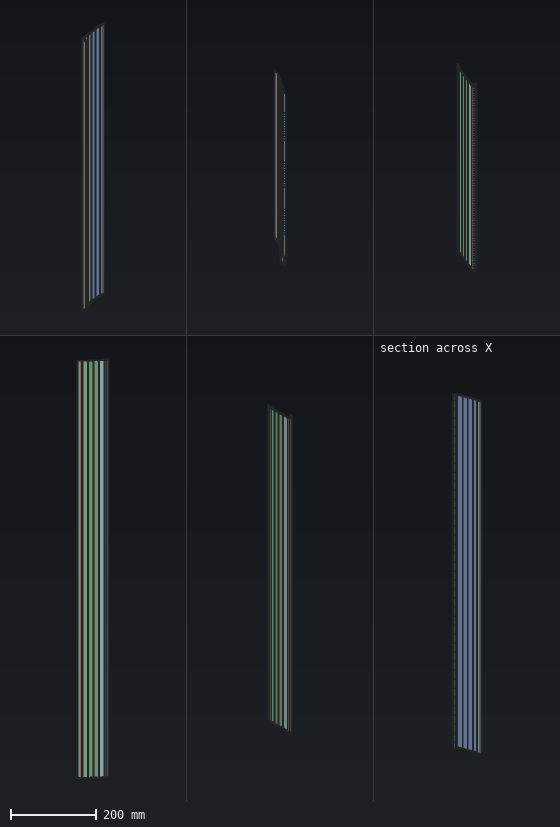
import cadquery as cq

length = 1000.0
width = 74.0
depth = 12.0
wall = 2.0

edge_setback = 4.0
edge_thickness = 1.0
tongue_setback = 2.0
tongue_length = 6.0
upper_bend = 9.0
lower_bend = 9.0

pad_reach = 12.0
pad_depth = 4.0

hook_start = 5.0
hook_thickness = 3.0
hook_lip = 3.0
lip_thickness = 2.0
foot_depth = 4.0

groove_pitch = 13.0
groove_width = 1.0
groove_depth = 1.0

half_width = width / 2


def extrude_profile(points):
    """Extrude a closed XY outline over the full strip length."""
    return cq.Workplane("XY").polyline(points).close().extrude(length)


def make_plate():
    """Thin face with a stepped +Y tongue and a rounded -Y edge, both set back toward +X."""
    tongue = half_width - tongue_length
    upper = half_width - upper_bend
    lower = -half_width + lower_bend
    return (
        cq.Workplane("XY")
        .moveTo(0, upper)
        .lineTo(0, lower)
        .tangentArcPoint((edge_setback, -half_width), relative=False)
        .lineTo(edge_setback + edge_thickness, -half_width)
        .lineTo(wall, lower)
        .lineTo(wall, upper)
        .lineTo(tongue_setback + wall, tongue)
        .lineTo(edge_setback + edge_thickness, half_width)
        .lineTo(edge_setback, half_width)
        .lineTo(tongue_setback, tongue)
        .close()
        .extrude(length)
    )


def make_pad():
    """Rib filling the inside corner of the upper bend."""
    inner = half_width - pad_reach
    outer = half_width - upper_bend
    return extrude_profile([
        (wall / 2, inner),
        (pad_depth, inner),
        (pad_depth, half_width - tongue_length),
        (wall / 2, outer),
    ])


def make_hook():
    """Hook with a wider foot on the plate and a lip turned toward +Y."""
    bottom = -half_width + hook_start
    top = bottom + hook_thickness
    lip_end = top + hook_lip
    return extrude_profile([
        (wall / 2, bottom),
        (depth, bottom),
        (depth, lip_end),
        (depth - lip_thickness, lip_end),
        (depth - lip_thickness, top),
        (foot_depth, top),
        (foot_depth, lip_end),
        (wall / 2, lip_end),
    ])


def make_groove(y):
    """V-shaped cutter centred at the given Y."""
    return extrude_profile([
        (0, y - groove_width / 2),
        (groove_depth, y),
        (0, y + groove_width / 2),
    ])


result = make_plate().union(make_pad()).union(make_hook())
for groove_y in (-groove_pitch, 0, groove_pitch):
    result = result.cut(make_groove(groove_y))